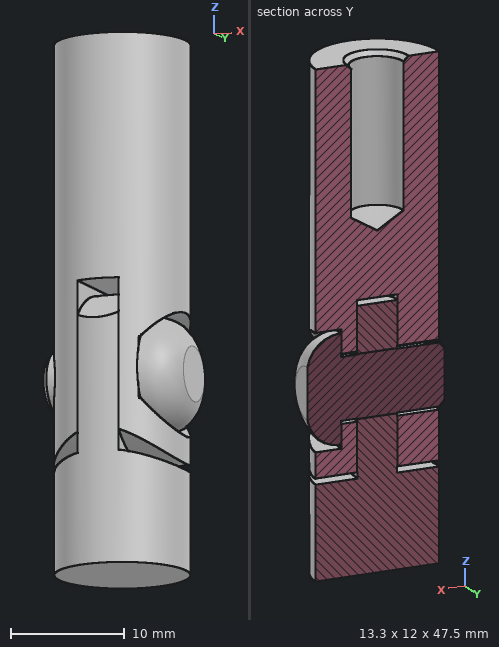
import cadquery as cq
import math

total_length = 47.5
body_diameter = 12.0
body_radius = body_diameter / 2

pin_height = 17.55
tongue_width = 3.9
tongue_tip_radius = 7.5
slot_top = pin_height + 8.0
fork_tip_radius = 8.0
shoulder_radius = 15.9
shoulder_low_point = 9.02

bore_diameter = 5.05
bore_mouth_diameter = 6.0
bore_depth = 14.25
drill_point_angle = 118.0

pin_radius = 3.0
pin_end = -6.5
pin_chamfer = 0.5
head_radius = 5.22
head_top = 6.8
head_flat_radius = 2.45
head_bulge_x = 5.95
head_bulge_radius = 4.2

fork_hole_radius = 3.25
head_seat = 3.5
head_recess_radius = 5.5


def rod(bottom, top):
    """Round bar on the Z axis."""
    return cq.Workplane("XY").workplane(offset=bottom).circle(body_radius).extrude(top - bottom)


def cross_cylinder(radius, height, start, end):
    """Cylinder along X at the given height, from x = start to x = end."""
    return cq.Workplane("YZ", origin=(start, 0, height)).circle(radius).extrude(end - start)


def tongue_slab(bottom, top):
    """Slab as thick as the tongue, spanning the body in Y."""
    slab = cq.Workplane("XY", origin=(0, 0, bottom))
    return slab.rect(tongue_width, 2 * body_diameter).extrude(top - bottom)


def make_bore():
    """Drilled hole with a 45 degree chamfered mouth and a conical bottom, as one revolved cutter."""
    bore_radius = bore_diameter / 2
    mouth_radius = bore_mouth_diameter / 2
    mouth_depth = mouth_radius - bore_radius
    bore_floor = total_length - bore_depth
    point_depth = bore_radius / math.tan(math.radians(drill_point_angle / 2))
    profile = [
        (0, total_length),
        (mouth_radius, total_length),
        (bore_radius, total_length - mouth_depth),
        (bore_radius, bore_floor),
        (0, bore_floor - point_depth),
    ]
    return cq.Workplane("XZ").polyline(profile).close().revolve(360, (0, 0), (0, 1))


def make_fork():
    """Upper rod, slotted for the tongue, with legs rounded about the pin axis."""
    fork = rod(pin_height, total_length)
    rounded_tips = cross_cylinder(fork_tip_radius, pin_height, -body_diameter, body_diameter)
    fork = fork.union(rod(0, pin_height).intersect(rounded_tips))
    fork = fork.cut(tongue_slab(0, slot_top))
    fork = fork.cut(cross_cylinder(fork_hole_radius, pin_height, -body_diameter, body_diameter))
    fork = fork.cut(cross_cylinder(head_recess_radius, pin_height, head_seat, body_diameter))
    return fork.cut(make_bore())


def make_tongue():
    """Lower rod with dished shoulders and a round-ended tongue around the pin."""
    dish_height = shoulder_low_point + shoulder_radius
    dish = cross_cylinder(shoulder_radius, dish_height, -body_diameter, body_diameter)
    shoulder_cut = dish.cut(tongue_slab(0, total_length))
    base = rod(0, pin_height).cut(shoulder_cut)
    tip = cross_cylinder(tongue_tip_radius, pin_height, -tongue_width / 2, tongue_width / 2)
    tip = tip.intersect(rod(0, total_length))
    body = base.union(tip)
    return body.cut(cross_cylinder(pin_radius, pin_height, -body_diameter, body_diameter))


def make_pin():
    """Pin with a chamfered end and a flat-topped domed head, revolved about its axis."""
    profile = (
        cq.Workplane("XY", origin=(0, 0, pin_height))
        .moveTo(pin_end, 0)
        .lineTo(pin_end, pin_radius - pin_chamfer)
        .lineTo(pin_end + pin_chamfer, pin_radius)
        .lineTo(head_seat, pin_radius)
        .lineTo(head_seat, head_radius)
        .threePointArc((head_bulge_x, head_bulge_radius), (head_top, head_flat_radius))
        .lineTo(head_top, 0)
        .close()
    )
    return profile.revolve(360, (0, 0), (1, 0))


fork = make_fork()
tongue = make_tongue()
pin = make_pin()

result = cq.Compound.makeCompound([*fork.solids().vals(), *tongue.solids().vals(), pin.val()])